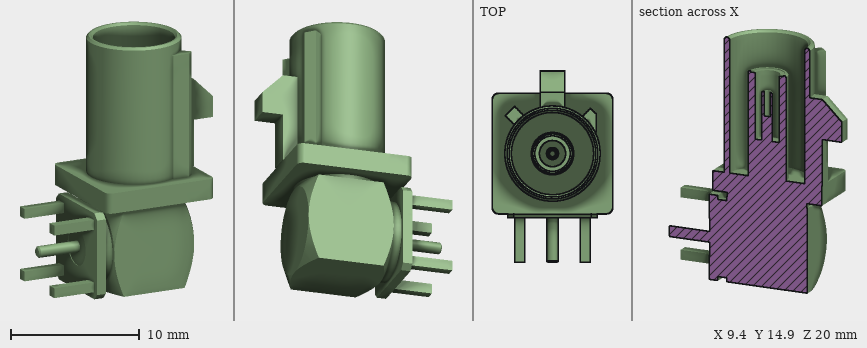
import cadquery as cq
import math

total_height = 20.0
flange_bottom = 7.3
flange_top = 8.95

tube_diameter = 7.42
bore_diameter = 6.4
rim_chamfer = 0.18

sleeve_diameter = 3.3
sleeve_top = 17.5
sleeve_chamfer = 0.12
insulator_diameter = 2.76
insulator_recess = 0.08
contact_hole_diameter = 2.05
contact_hole_floor = 12.0
contact_diameter = 0.95
contact_socket_diameter = 0.48
contact_socket_depth = 2.0
contact_top = 16.0
contact_chamfer = 0.12

flange_side = 9.4
flange_corner_radius = 0.52

latch_width = 1.95
latch_stem_reach = 4.76
latch_nose_reach = 6.45
latch_nose_bottom = 12.7
latch_nose_top = 14.39
latch_top = 16.0

rib_top = 18.97
rib_angle = 45.0
left_rib_width = 1.02
left_rib_reach = 4.68
right_rib_lower_half_width = 1.2
right_rib_upper_half_width = 0.4
right_rib_reach = 4.58
right_rib_side_x = 3.42

elbow_side = 6.98
elbow_axis_height = elbow_side / 2
elbow_half = elbow_side / 2
elbow_cone_angle = 30.0
neck_diameter = 6.88

spacer_diameter = 6.35
plate_back_y = -4.25
plate_front_y = -5.0
plate_corner_chamfer = 0.46
window_diameter = 3.05
window_depth = 0.06

pin_end_y = -8.46
post_side = 0.8
post_spacing = 5.08
signal_pin_diameter = 0.92
signal_pin_chamfer = 0.12


def upright_cylinder(diameter, bottom, top):
    return cq.Workplane("XY").workplane(offset=bottom).circle(diameter / 2).extrude(top - bottom)


def elbow_sketch_plane(y):
    """Plane facing -Y, centred on the horizontal elbow axis."""
    return cq.Workplane("XZ", origin=(0, y, elbow_axis_height))


def make_tube():
    tube = upright_cylinder(tube_diameter, flange_bottom, total_height)
    bore = upright_cylinder(bore_diameter, flange_top, total_height)
    return tube.cut(bore).faces(">Z").chamfer(rim_chamfer)


def make_contact():
    sleeve = upright_cylinder(sleeve_diameter, flange_bottom, sleeve_top)
    sleeve = sleeve.faces(">Z").edges().chamfer(sleeve_chamfer)
    recess = upright_cylinder(insulator_diameter, sleeve_top - insulator_recess, sleeve_top)
    hole = upright_cylinder(contact_hole_diameter, contact_hole_floor, sleeve_top)
    contact = upright_cylinder(contact_diameter, flange_bottom, contact_top)
    contact = contact.faces(">Z").edges().chamfer(contact_chamfer)
    socket = upright_cylinder(contact_socket_diameter, contact_top - contact_socket_depth, contact_top)
    return sleeve.cut(recess).cut(hole).union(contact.cut(socket))


def make_flange():
    flange = cq.Workplane("XY").workplane(offset=flange_bottom)
    flange = flange.rect(flange_side, flange_side).extrude(flange_top - flange_bottom)
    return flange.edges("|Z").fillet(flange_corner_radius)


def make_latch():
    root = (tube_diameter + bore_diameter) / 4
    profile = [
        (root, flange_top),
        (latch_stem_reach, flange_top),
        (latch_stem_reach, latch_nose_bottom),
        (latch_nose_reach, latch_nose_bottom),
        (latch_nose_reach, latch_nose_top),
        (latch_stem_reach, latch_top),
        (root, latch_top),
    ]
    return cq.Workplane("YZ").polyline(profile).close().extrude(latch_width / 2, both=True)


def make_rib(angle, reach, lower_half_width, upper_half_width):
    """Radial rib; the half widths lie clockwise and anticlockwise of its centre line."""
    root = (tube_diameter + bore_diameter) / 4
    outline = [
        (root, -lower_half_width),
        (reach, -lower_half_width),
        (reach, upper_half_width),
        (root, upper_half_width),
    ]
    rib = cq.Workplane("XY").workplane(offset=flange_top).polyline(outline).close()
    return rib.extrude(rib_top - flange_top).rotate((0, 0, 0), (0, 0, 1), angle)


def make_ribs():
    left = make_rib(180 - rib_angle, left_rib_reach, left_rib_width / 2, left_rib_width / 2)
    right = make_rib(rib_angle, right_rib_reach, right_rib_lower_half_width, right_rib_upper_half_width)
    trim = cq.Workplane("XY").box(
        flange_side, flange_side, total_height, centered=(False, True, False)
    ).translate((right_rib_side_x, 0, 0))
    return left.union(right.cut(trim))


def make_elbow():
    block = elbow_sketch_plane(0).rect(elbow_side, elbow_side).extrude(elbow_half, both=True)
    cone_height = elbow_half * math.tan(math.radians(elbow_cone_angle))
    apex = elbow_half + cone_height
    base_radius = apex / math.tan(math.radians(elbow_cone_angle))
    half_profile = [
        (0, -elbow_half),
        (elbow_half, -elbow_half),
        (base_radius, 0),
        (elbow_half, elbow_half),
        (0, elbow_half),
    ]
    cones = cq.Workplane("XY").polyline(half_profile).close().revolve(360, (0, 0), (0, 1))
    elbow = block.intersect(cones.translate((0, 0, elbow_axis_height)))
    return elbow.union(upright_cylinder(neck_diameter, elbow_axis_height, flange_bottom))


def make_mounting_plate():
    spacer = elbow_sketch_plane(-elbow_half).circle(spacer_diameter / 2).extrude(-elbow_half - plate_back_y)
    plate = elbow_sketch_plane(plate_back_y).rect(elbow_side, elbow_side)
    plate = plate.extrude(plate_back_y - plate_front_y).edges("|Y").chamfer(plate_corner_chamfer)
    window = elbow_sketch_plane(plate_front_y).circle(window_diameter / 2).extrude(-window_depth)
    return spacer.union(plate.cut(window))


def make_pins():
    posts = elbow_sketch_plane(plate_front_y).rarray(post_spacing, post_spacing, 2, 2)
    posts = posts.rect(post_side, post_side).extrude(plate_front_y - pin_end_y)
    signal_pin = elbow_sketch_plane(plate_back_y).circle(signal_pin_diameter / 2)
    signal_pin = signal_pin.extrude(plate_back_y - pin_end_y).faces("<Y").chamfer(signal_pin_chamfer)
    return posts.union(signal_pin)


result = (
    make_flange()
    .union(make_tube())
    .union(make_contact())
    .union(make_latch())
    .union(make_ribs())
    .union(make_elbow())
    .union(make_mounting_plate())
    .union(make_pins())
)